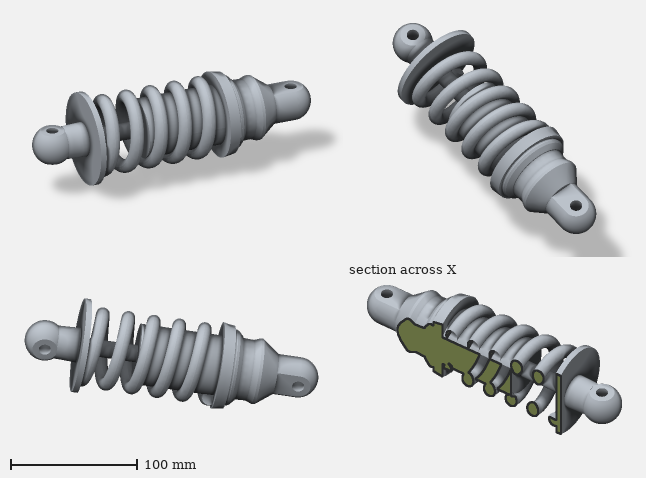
import cadquery as cq

total_length = 236.3

ball_radius = 16.0
eye_thickness = 25.3
eye_hole_diameter = 9.7
lower_eye_y = ball_radius
upper_eye_y = total_length - ball_radius

seat_radius = 37.5
seat_bottom_y = 42.8
seat_thickness = 4.7
neck_top_radius = 14.0
neck_bottom_radius = 13.2
neck_bottom_y = 25.5
rod_radius = 6.9

body_radius = 24.0
body_bottom_y = 90.0
flange_bottom_y = 155.0
flange_bottom_radius = 34.7
flange_top_y = 164.2
flange_top_radius = 33.3
collar_bottom_radius = 30.0
collar_edge_y = 166.3
collar_edge_radius = 30.5
collar_shoulder_y = 168.5
collar_shoulder_radius = 29.5
collar_top_y = 172.0
collar_top_radius = 25.8
groove_bottom_radius = 24.8
groove_top_y = 181.2
groove_top_radius = 24.3
rim_bottom_y = 186.2
rim_top_y = 188.5
rim_radius = 26.2
cone_top_y = 201.8
cone_top_radius = 16.3

wire_radius = 5.5
coil_radius = 27.2
coil_pitch = 20.53
coil_turns = 5
coil_bottom_y = 49.1
coil_end_angle = 135


def revolve_about_y(outline):
    return cq.Workplane("XY").polyline(outline).close().revolve(360, (0, 0, 0), (0, 1, 0))


def flat_slab(center_y):
    """Space between the two flat faces of an eye."""
    side = 4 * ball_radius
    return cq.Workplane("XY").box(side, side, eye_thickness).translate((0, center_y, 0))


def eye_ball(center_y):
    return cq.Workplane("XY").sphere(ball_radius).translate((0, center_y, 0))


def eye_hole(center_y):
    return (
        cq.Workplane("XY")
        .center(0, center_y)
        .circle(eye_hole_diameter / 2)
        .extrude(ball_radius, both=True)
    )


def make_lower_end():
    seat_top_y = seat_bottom_y + seat_thickness
    stem = revolve_about_y([
        (0, lower_eye_y),
        (neck_bottom_radius, lower_eye_y),
        (neck_bottom_radius, neck_bottom_y),
        (neck_top_radius, seat_bottom_y),
        (seat_radius, seat_bottom_y),
        (seat_radius, seat_top_y),
        (rod_radius, seat_top_y),
        (rod_radius, body_bottom_y),
        (0, body_bottom_y),
    ])
    ball = eye_ball(lower_eye_y)
    neck_region = cq.Workplane("XZ", origin=(0, neck_bottom_y, 0)).circle(seat_radius).extrude(-total_length)
    flat_zone = flat_slab(lower_eye_y).union(neck_region)
    return stem.union(ball).intersect(flat_zone)


def make_body():
    return revolve_about_y([
        (0, body_bottom_y),
        (body_radius, body_bottom_y),
        (body_radius, flange_bottom_y),
        (flange_bottom_radius, flange_bottom_y),
        (flange_top_radius, flange_top_y),
        (collar_bottom_radius, flange_top_y),
        (collar_edge_radius, collar_edge_y),
        (collar_shoulder_radius, collar_shoulder_y),
        (collar_top_radius, collar_top_y),
        (groove_bottom_radius, collar_top_y),
        (groove_top_radius, groove_top_y),
        (rim_radius, rim_bottom_y),
        (rim_radius, rim_top_y),
        (cone_top_radius, cone_top_y),
        (0, cone_top_y),
    ])


def make_upper_eye():
    shank = (
        cq.Workplane("XZ", origin=(0, cone_top_y, 0))
        .circle(ball_radius)
        .extrude(cone_top_y - upper_eye_y)
    )
    return shank.union(eye_ball(upper_eye_y)).intersect(flat_slab(upper_eye_y))


def make_spring():
    """Left-handed coil, wound about Z and then laid along Y; the wire is four quarter-round faces."""
    helix = cq.Wire.makeHelix(coil_pitch, coil_pitch * coil_turns, coil_radius, lefthand=True)
    coil = (
        cq.Workplane("XZ")
        .moveTo(coil_radius - wire_radius, 0)
        .radiusArc((coil_radius, wire_radius), wire_radius)
        .radiusArc((coil_radius + wire_radius, 0), wire_radius)
        .radiusArc((coil_radius, -wire_radius), wire_radius)
        .radiusArc((coil_radius - wire_radius, 0), wire_radius)
        .close()
        .sweep(cq.Workplane(obj=helix), isFrenet=True)
    )
    return (
        coil.rotate((0, 0, 0), (0, 0, 1), coil_end_angle)
        .rotate((0, 0, 0), (1, 0, 0), -90)
        .translate((0, coil_bottom_y, 0))
    )


result = make_lower_end().union(make_body()).union(make_upper_eye())
for eye_y in (lower_eye_y, upper_eye_y):
    result = result.cut(eye_hole(eye_y))
result = result.union(make_spring())